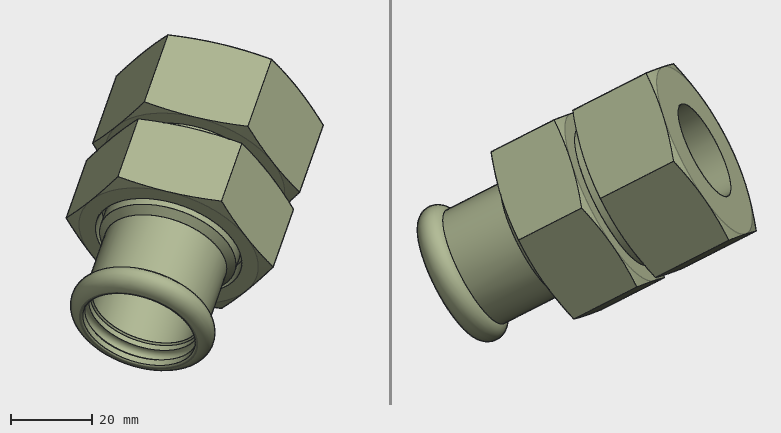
import cadquery as cq
import math

length = 73.0
hex_across_flats = 46.0
hex_chamfer_angle = 15.0

bead_width = 7.3
collar_cone_start = 23.95
collar_cone_end = 25.85
union_nut_start = 26.65
union_nut_end = 46.65
neck_taper_end = 47.1
body_hex_start = 50.1

bead_diameter = 36.8
tube_diameter = 31.4
collar_diameter = 35.0
neck_diameter = 38.0

nut_opening_diameter = 37.5
nut_opening_depth = 5.85

mouth_diameter = 30.3
lip_diameter = 28.8
land_diameter = 28.4
socket_diameter = 27.7
stop_diameter = 26.3
through_diameter = 25.4
mouth_round_end = 0.45
groove_start = 2.2
groove_end = 5.0
groove_depth = 1.2
land_end = 6.5
land_cone_end = 7.0
socket_end = collar_cone_start
stop_end = union_nut_start


def revolve_about_y(profile):
    return profile.close().revolve(360, (0, 0, 0), (0, 1, 0))


def hex_nut(start, end):
    """Hexagonal prism along Y with conically chamfered corners at both ends."""
    corner_diameter = hex_across_flats / math.cos(math.radians(30))
    face_radius = hex_across_flats / 2
    corner_radius = corner_diameter / 2
    chamfer = (corner_radius - face_radius) * math.tan(math.radians(hex_chamfer_angle))
    prism = (
        cq.Workplane("XZ", origin=(0, start, 0))
        .polygon(6, corner_diameter)
        .extrude(start - end)
    )
    envelope = revolve_about_y(
        cq.Workplane("XY")
        .moveTo(0, start)
        .lineTo(face_radius, start)
        .lineTo(corner_radius, start + chamfer)
        .lineTo(corner_radius, end - chamfer)
        .lineTo(face_radius, end)
        .lineTo(0, end)
    )
    return prism.intersect(envelope)


def tube_and_neck():
    """Turned core: rounded bead, tube, tapered collar and the neck between the hexagons."""
    return revolve_about_y(
        cq.Workplane("XY")
        .lineTo(mouth_diameter / 2, 0)
        .threePointArc((bead_diameter / 2, bead_width / 2), (tube_diameter / 2, bead_width))
        .lineTo(tube_diameter / 2, collar_cone_start)
        .lineTo(collar_diameter / 2, collar_cone_end)
        .lineTo(collar_diameter / 2, union_nut_end)
        .lineTo(neck_diameter / 2, neck_taper_end)
        .lineTo(neck_diameter / 2, body_hex_start)
        .lineTo(0, body_hex_start)
    )


def nut_opening():
    return (
        cq.Workplane("XZ", origin=(0, union_nut_start, 0))
        .circle(nut_opening_diameter / 2)
        .extrude(-nut_opening_depth)
    )


def bore():
    """Stepped through bore with a rounded seal groove inside the bead."""
    round_width = (mouth_diameter - lip_diameter) / 2
    mouth_round_radius = mouth_diameter / 2 - round_width * math.sin(math.radians(45))
    mouth_round_middle = mouth_round_end * (1 - math.cos(math.radians(45)))
    groove_middle = (groove_start + groove_end) / 2
    return revolve_about_y(
        cq.Workplane("XY")
        .lineTo(mouth_diameter / 2, 0)
        .threePointArc((mouth_round_radius, mouth_round_middle), (lip_diameter / 2, mouth_round_end))
        .lineTo(lip_diameter / 2, groove_start)
        .threePointArc(
            (lip_diameter / 2 + groove_depth, groove_middle),
            (land_diameter / 2, groove_end),
        )
        .lineTo(land_diameter / 2, land_end)
        .lineTo(socket_diameter / 2, land_cone_end)
        .lineTo(socket_diameter / 2, socket_end)
        .lineTo(stop_diameter / 2, socket_end)
        .lineTo(through_diameter / 2, stop_end)
        .lineTo(through_diameter / 2, length)
        .lineTo(0, length)
    )


union_nut = hex_nut(union_nut_start, union_nut_end).cut(nut_opening())
body_hex = hex_nut(body_hex_start, length)
result = tube_and_neck().union(union_nut).union(body_hex).cut(bore())